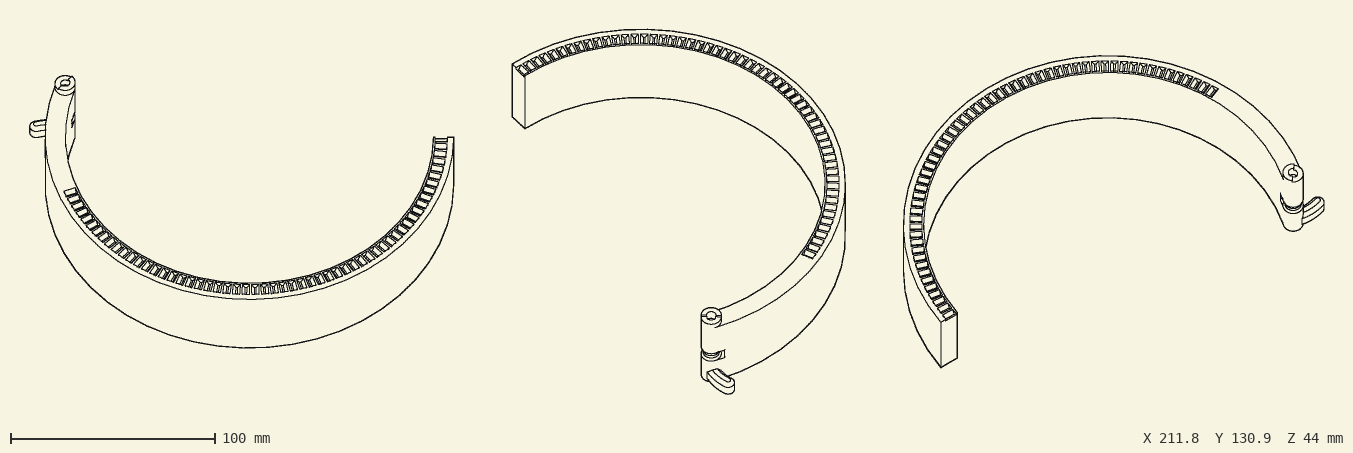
import cadquery as cq
import math

BAND_OUTER_R = 100.0
BAND_WIDTH = 10.0
BAND_HEIGHT = 40.0
BAND_INNER_R = BAND_OUTER_R - BAND_WIDTH
BAND_END_ANGLE = 18.0
BAND_START_ANGLE = -180.0
BAND_BOTTOM_CHAMFER = 0.5

BARREL_R = BAND_WIDTH / 2
BARREL_X = -(BAND_OUTER_R - BARREL_R)
BARREL_HEIGHT = 44.0
BARREL_STEP_DEPTH = 1.0
BARREL_STEP_ANGLE = 67.0
SOCKET_TOP_D = 4.7
SOCKET_BOTTOM_D = 3.4
SOCKET_DEPTH = 4.2

GROOVE_BOTTOM_Z = 15.5
GROOVE_TOP_Z = 21.0
GROOVE_OUTER_R = 7.0
NECK_R = 4.0
NECK_LOWER_TAPER = 1.3
NECK_UPPER_TAPER = 2.5

FINGER_WIDTH = 6.4
FINGER_HEIGHT = 9.0
FINGER_CHAMFER = 2.0
FINGER_BEND_R = 22.0
FINGER_BEND_X = BARREL_X - 1.0
FINGER_BEND_Y = -21.6
FINGER_ROOT_ANGLE = 90.0
FINGER_TIP_ANGLE = 125.0

POCKET_INNER_R = 91.0
POCKET_OUTER_R = 96.9
POCKET_OPENING = 3.5
POCKET_FLOOR = 0.8
POCKET_DEPTH = 2.5
POCKET_COUNT = 57
POCKETS_PER_TURN = 128
POCKET_PITCH_ANGLE = 360 / POCKETS_PER_TURN
POCKET_END_ANGLE = 17.3


def polar(radius, angle, centre=(0, 0)):
    """Point at a radius and an angle in degrees from a centre."""
    turn = math.radians(angle)
    return centre[0] + radius * math.cos(turn), centre[1] + radius * math.sin(turn)


def arc_strip(inner_r, outer_r, start, end, height, centre=(0, 0)):
    """Upright solid over a ring sector."""
    middle = (start + end) / 2
    return (
        cq.Workplane("XY")
        .moveTo(*polar(outer_r, start, centre))
        .threePointArc(polar(outer_r, middle, centre), polar(outer_r, end, centre))
        .lineTo(*polar(inner_r, end, centre))
        .threePointArc(polar(inner_r, middle, centre), polar(inner_r, start, centre))
        .close()
        .extrude(height)
    )


def at_barrel(shape):
    """Move a shape from the Z axis to the barrel axis."""
    return shape.translate((BARREL_X, 0, 0))


def make_band():
    band = arc_strip(BAND_INNER_R, BAND_OUTER_R, BAND_START_ANGLE, BAND_END_ANGLE, BAND_HEIGHT)
    return band.faces("<Z").chamfer(BAND_BOTTOM_CHAMFER)


def make_barrel():
    """Barrel whose top face is stepped down over one half."""
    barrel = cq.Workplane("XY").circle(BARREL_R).extrude(BARREL_HEIGHT)
    lowered_half = (
        cq.Workplane("XY")
        .workplane(offset=BARREL_HEIGHT - BARREL_STEP_DEPTH)
        .rect(BARREL_R * 4, BARREL_R * 2)
        .extrude(BARREL_STEP_DEPTH)
        .translate((0, BARREL_R, 0))
        .rotate((0, 0, 0), (0, 0, 1), BARREL_STEP_ANGLE)
    )
    return at_barrel(barrel.cut(lowered_half))


def make_socket():
    """Conical socket in the top of the barrel."""
    socket = (
        cq.Workplane("XY")
        .workplane(offset=BARREL_HEIGHT)
        .circle(SOCKET_TOP_D / 2)
        .workplane(offset=-SOCKET_DEPTH)
        .circle(SOCKET_BOTTOM_D / 2)
        .loft()
    )
    return at_barrel(socket)


def make_groove():
    """Ring-shaped clearance that leaves a tapered neck on the barrel axis."""
    profile = [
        (BARREL_R, GROOVE_BOTTOM_Z),
        (GROOVE_OUTER_R, GROOVE_BOTTOM_Z),
        (GROOVE_OUTER_R, GROOVE_TOP_Z),
        (BARREL_R, GROOVE_TOP_Z),
        (NECK_R, GROOVE_TOP_Z - NECK_UPPER_TAPER),
        (NECK_R, GROOVE_BOTTOM_Z + NECK_LOWER_TAPER),
    ]
    groove = cq.Workplane("XZ").polyline(profile).close().revolve(360, (0, 0, 0), (0, 1, 0))
    return at_barrel(groove)


def make_finger():
    """Curved finger with a round tip and chamfered top and bottom edges."""
    bend = (FINGER_BEND_X, FINGER_BEND_Y)
    half_width = FINGER_WIDTH / 2
    inner_r = FINGER_BEND_R - half_width
    outer_r = FINGER_BEND_R + half_width
    middle = (FINGER_ROOT_ANGLE + FINGER_TIP_ANGLE) / 2
    tip_centre = polar(FINGER_BEND_R, FINGER_TIP_ANGLE, bend)
    return (
        cq.Workplane("XY")
        .moveTo(*polar(outer_r, FINGER_ROOT_ANGLE, bend))
        .threePointArc(polar(outer_r, middle, bend), polar(outer_r, FINGER_TIP_ANGLE, bend))
        .threePointArc(
            polar(half_width, FINGER_TIP_ANGLE + 90, tip_centre),
            polar(inner_r, FINGER_TIP_ANGLE, bend),
        )
        .threePointArc(polar(inner_r, middle, bend), polar(inner_r, FINGER_ROOT_ANGLE, bend))
        .close()
        .extrude(FINGER_HEIGHT)
        .faces("<Z or >Z")
        .chamfer(FINGER_CHAMFER)
    )


def make_pockets():
    """Row of pockets; the first runs out through the free end of the band."""
    floor_z = BAND_HEIGHT - POCKET_DEPTH
    profile = [
        (-POCKET_OPENING / 2, BAND_HEIGHT),
        (-POCKET_FLOOR / 2, floor_z),
        (POCKET_FLOOR / 2, floor_z),
        (POCKET_OPENING / 2, BAND_HEIGHT),
    ]
    pocket = (
        cq.Workplane("YZ")
        .workplane(offset=POCKET_INNER_R)
        .polyline(profile)
        .close()
        .extrude(POCKET_OUTER_R - POCKET_INNER_R)
    )
    copies = []
    for index in range(POCKET_COUNT):
        angle = POCKET_END_ANGLE - index * POCKET_PITCH_ANGLE
        copies.append(pocket.rotate((0, 0, 0), (0, 0, 1), angle).val())
    return cq.Workplane(cq.Compound.makeCompound(copies))


result = (
    make_band()
    .union(make_barrel())
    .cut(make_groove())
    .union(make_finger())
    .cut(make_socket())
    .cut(make_pockets())
)